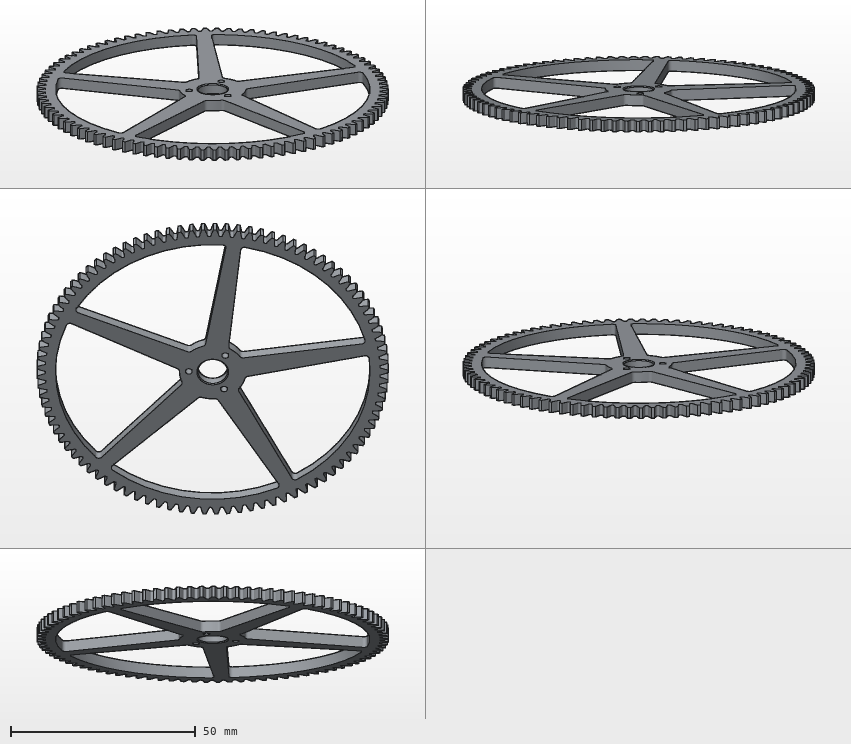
import cadquery as cq
import math

outer_radius = 47.5
tooth_count = 93
pressure_angle = math.radians(20)
dedendum_factor = 1.25
module = 2 * outer_radius / (tooth_count + 2)
thickness = 3 * module
pitch_radius = module * tooth_count / 2
root_radius = pitch_radius - dedendum_factor * module
base_radius = pitch_radius * math.cos(pressure_angle)
flank_point_count = 4
root_fillet = 0.38 * module

spoke_count = 5
rim_inner_radius = outer_radius - 5 * module
hub_radius = 9 * module
spoke_half_width_at_axis = 3.5 * module
spoke_half_width_at_rim = 2 * module
spoke_taper = (spoke_half_width_at_axis - spoke_half_width_at_rim) / rim_inner_radius
spoke_half_width_at_hub = spoke_half_width_at_axis - spoke_taper * hub_radius
window_corner_radius = module

bore_radius = 4.0
bore_chamfer = 0.3
screw_hole_count = 3
screw_hole_radius = 0.9
screw_circle_radius = 6.5


def polar(radius, angle):
    return (radius * math.cos(angle), radius * math.sin(angle))


def involute_angle(radius):
    """Polar angle swept by the involute between the base circle and a radius."""
    roll = math.sqrt((radius / base_radius) ** 2 - 1)
    return roll - math.atan(roll)


def tooth_half_angle(radius):
    """Half of the angle a tooth spans at a radius; half of each pitch is solid at the pitch circle."""
    at_pitch_circle = math.pi / (2 * tooth_count)
    return at_pitch_circle + involute_angle(pitch_radius) - involute_angle(radius)


def is_inside_pitch_circle(edge):
    centre = edge.Center()
    return math.hypot(centre.x, centre.y) < pitch_radius


def make_toothed_disc():
    """Solid disc with involute teeth and filleted roots, the first tooth centred on the +X axis."""
    pitch_angle = 2 * math.pi / tooth_count
    flank_step = (outer_radius - root_radius) / (flank_point_count - 1)
    flank_radii = [root_radius + i * flank_step for i in range(flank_point_count)]

    outline = cq.Workplane("XY").moveTo(*polar(root_radius, -tooth_half_angle(root_radius)))
    for i in range(tooth_count):
        centre = i * pitch_angle
        rising = [polar(r, centre - tooth_half_angle(r)) for r in flank_radii]
        falling = [polar(r, centre + tooth_half_angle(r)) for r in reversed(flank_radii)]
        next_root = polar(root_radius, centre + pitch_angle - tooth_half_angle(root_radius))
        outline = (
            outline.spline(rising[1:], includeCurrent=True)
            .threePointArc(polar(outer_radius, centre), falling[0])
            .spline(falling[1:], includeCurrent=True)
            .threePointArc(polar(root_radius, centre + pitch_angle / 2), next_root)
        )
    disc = outline.close().extrude(thickness)
    root_edges = disc.edges("|Z").filter(is_inside_pitch_circle)
    return root_edges.fillet(root_fillet)


def make_window():
    """Opening between the spoke on +X and the next spoke, with rounded corners."""
    pitch_angle = 2 * math.pi / spoke_count
    middle = pitch_angle / 2
    hub_angle = math.asin(spoke_half_width_at_hub / hub_radius)
    rim_angle = math.asin(spoke_half_width_at_rim / rim_inner_radius)
    hub_start = polar(hub_radius, hub_angle)
    return (
        cq.Workplane("XY")
        .moveTo(*hub_start)
        .lineTo(*polar(rim_inner_radius, rim_angle))
        .threePointArc(
            polar(rim_inner_radius, middle),
            polar(rim_inner_radius, pitch_angle - rim_angle),
        )
        .lineTo(*polar(hub_radius, pitch_angle - hub_angle))
        .threePointArc(polar(hub_radius, middle), hub_start)
        .close()
        .extrude(thickness)
        .edges("|Z")
        .fillet(window_corner_radius)
    )


def make_windows():
    window = make_window().val()
    spoke_step = 360 / spoke_count
    copies = [window.rotate((0, 0, 0), (0, 0, 1), i * spoke_step) for i in range(spoke_count)]
    return cq.Workplane(cq.Compound.makeCompound(copies))


def make_bore():
    """Cutter for the central bore, flared by a chamfer at both faces."""
    mouth_radius = bore_radius + bore_chamfer
    half_profile = [
        (0, 0),
        (mouth_radius, 0),
        (bore_radius, bore_chamfer),
        (bore_radius, thickness - bore_chamfer),
        (mouth_radius, thickness),
        (0, thickness),
    ]
    return cq.Workplane("XZ").polyline(half_profile).close().revolve(360, (0, 0), (0, 1))


def make_screw_holes():
    return (
        cq.Workplane("XY")
        .polarArray(screw_circle_radius, 0, 360, screw_hole_count)
        .circle(screw_hole_radius)
        .extrude(thickness)
    )


openings = make_windows().add(make_bore()).add(make_screw_holes()).combine()
result = make_toothed_disc().cut(openings)